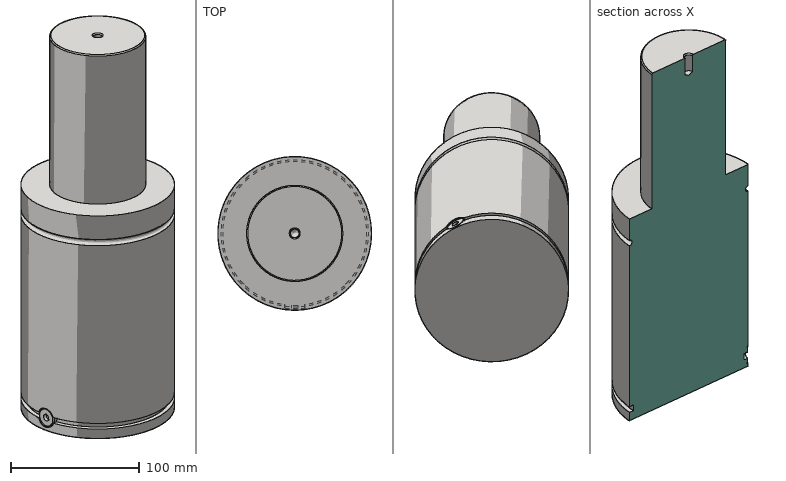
import cadquery as cq
import math

total_height = 318.0
body_diameter = 120.0
body_height = 190.5
rod_diameter = 75.0
rod_chamfer = 1.0

upper_groove_center = 167.5
upper_groove_radius = 2.5

lower_groove_bottom = 8.3
lower_groove_width = 4.8
lower_groove_depth = 3.8

rod_hole_diameter = 6.7
rod_hole_mouth_diameter = 8.5
rod_hole_depth = 16.0
drill_point_angle = 118.0

port_height = lower_groove_bottom + lower_groove_width / 2
port_diameter = 16.0
plug_diameter = 14.0
plug_hole_diameter = 5.5
plug_hole_depth = 3.2
plug_length = 12.7
plug_recess = 0.5

body_radius = body_diameter / 2


def make_cylinder_and_rod():
    body = cq.Workplane("XY").circle(body_radius).extrude(body_height)
    rod = (
        cq.Workplane("XY")
        .circle(rod_diameter / 2)
        .extrude(total_height)
        .faces(">Z")
        .chamfer(rod_chamfer)
    )
    return body.union(rod)


def make_upper_groove():
    return cq.Workplane(
        cq.Solid.makeTorus(
            body_radius, upper_groove_radius, cq.Vector(0, 0, upper_groove_center), cq.Vector(0, 0, 1)
        )
    )


def make_lower_groove():
    return (
        cq.Workplane("XY", origin=(0, 0, lower_groove_bottom))
        .circle(body_radius)
        .circle(body_radius - lower_groove_depth)
        .extrude(lower_groove_width)
    )


def make_rod_hole():
    """Countersunk blind hole with a conical drill point, as a revolved half profile."""
    hole_radius = rod_hole_diameter / 2
    mouth_radius = rod_hole_mouth_diameter / 2
    mouth_depth = mouth_radius - hole_radius
    point_depth = hole_radius / math.tan(math.radians(drill_point_angle / 2))
    return (
        cq.Workplane("XZ", origin=(0, 0, total_height))
        .polyline(
            [
                (0, 0),
                (mouth_radius, 0),
                (hole_radius, -mouth_depth),
                (hole_radius, -rod_hole_depth),
                (0, -rod_hole_depth - point_depth),
            ]
        )
        .close()
        .revolve(360, (0, 0, 0), (0, 1, 0))
    )


def port_cylinder(diameter, start, length):
    """Cylinder along Y whose outer end lies `start` inside the body's -Y side."""
    return (
        cq.Workplane("XZ", origin=(0, start - body_radius, port_height))
        .circle(diameter / 2)
        .extrude(-length)
    )


def add_filling_port(part):
    """Fill the groove at the port, then leave a chamfered plug with a small blind hole."""
    port_bore = port_cylinder(port_diameter, 0, plug_length)
    plug_chamfer = (port_diameter - plug_diameter) / 2
    plug = (
        port_cylinder(port_diameter, plug_recess, plug_length - plug_recess)
        .faces("<Y")
        .chamfer(plug_chamfer)
    )
    plug_hole = port_cylinder(plug_hole_diameter, plug_recess, plug_hole_depth)
    return part.cut(port_bore).union(plug).cut(plug_hole)


result = make_cylinder_and_rod()
result = result.cut(make_upper_groove())
result = result.cut(make_lower_groove())
result = result.cut(make_rod_hole())
result = add_filling_port(result)